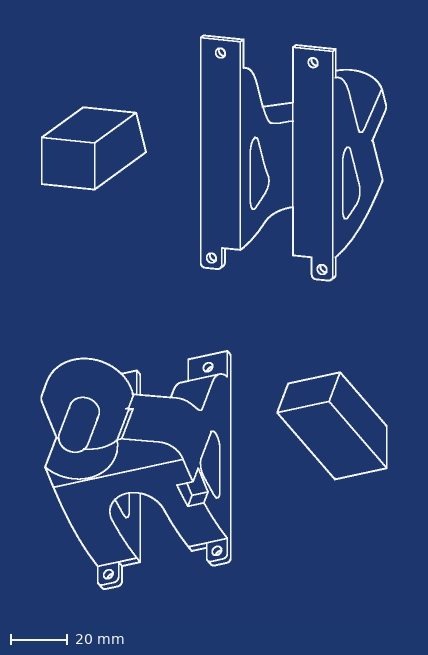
import cadquery as cq
import math

TILT = 30.0
SIN_TILT = math.sin(math.radians(TILT))
COS_TILT = math.cos(math.radians(TILT))

total_width = 110.0
frame_width = 49.9
frame_height = 84.5
frame_left = total_width - frame_width

leg_thickness = 3.2
leg_foot = 7.9
tab_width = 8.0
tab_fillet = 1.8
screw_radius = 1.8
upper_screw_inset = 7.5
upper_screw_height = 79.5
lower_screw_inset = 4.1
lower_screw_height = 3.8

shoulder_radius = 19.0
shoulder_height = 74.2
keel_radius = 85.6
valley_y = 27.7
valley_radius = 4.6

channel_radius = 9.9
channel_depth = 31.9
channel_lean = 5.0
channel_x = frame_left + frame_width / 2

window_radius = 4.3
window_corners = [(14.2, 41.0), (14.2, 23.5), (22.9, 26.1)]

arm_corner_radius = 9.0
arm_corner_start = 0.3
arm_tip_x = 20.5
arm_blunt_reach = 13.2
arm_edge_angle = math.radians(19.0)

pad_radius = 16.1
pad_thickness = 9.7
pad_fillet = 1.0
pad_x = frame_left + 36.1
pad_reach = 16.7
boss_radius = 5.4
boss_fillet = 1.0

recess_reach = -20.0
recess_length = 10.1
recess_drop = 20.1
recess_depth = 6.2

block_width = 20.0
block_bottom = 24.5
block_height = 17.2
block_top_length = 41.7

shoulder_end_y = shoulder_radius * COS_TILT
shoulder_end_z = shoulder_height - shoulder_radius * (1 - SIN_TILT)
valley_z = shoulder_end_z - (valley_y - shoulder_end_y) / math.tan(math.radians(TILT))
keel_end_y = keel_radius * SIN_TILT
keel_end_z = leg_foot + keel_radius * (1 - COS_TILT)
arm_depth = (keel_end_y - valley_y) * SIN_TILT + (valley_z - keel_end_z) * COS_TILT

arm_top = cq.Plane(
    origin=(0, valley_y, valley_z), xDir=(1, 0, 0), normal=(0, -SIN_TILT, COS_TILT)
)


def side_sketch(x):
    """YZ workplane at the given X."""
    return cq.Workplane("YZ", origin=(x, 0, 0))


def wings():
    """Full-width profile up to the valley and down to the curved keel."""
    mid_turn = math.radians((90 + TILT) / 2)
    shoulder_mid = (
        shoulder_radius * math.cos(mid_turn),
        shoulder_height - shoulder_radius * (1 - math.sin(mid_turn)),
    )
    half_tilt = math.radians(TILT / 2)
    keel_mid = (
        keel_radius * math.sin(half_tilt),
        leg_foot + keel_radius * (1 - math.cos(half_tilt)),
    )
    return (
        side_sketch(frame_left)
        .moveTo(0, leg_foot)
        .lineTo(0, shoulder_height)
        .threePointArc(shoulder_mid, (shoulder_end_y, shoulder_end_z))
        .lineTo(valley_y, valley_z)
        .lineTo(keel_end_y, keel_end_z)
        .threePointArc(keel_mid, (0, leg_foot))
        .close()
        .extrude(frame_width)
    )


def arm_outline():
    """Outline in the arm plane; the left edge rounds into a slanted stretch."""
    centre_x = frame_left + arm_corner_radius
    centre_reach = arm_corner_start
    end_angle = math.pi / 2 + arm_edge_angle
    mid_angle = (math.pi + end_angle) / 2

    def on_corner(angle):
        return (
            centre_x + arm_corner_radius * math.cos(angle),
            centre_reach + arm_corner_radius * math.sin(angle),
        )

    slant_x, slant_reach = on_corner(end_angle)
    tip_x = frame_left + arm_tip_x
    tip_reach = slant_reach + (tip_x - slant_x) * math.tan(arm_edge_angle)
    return (
        cq.Workplane(arm_top)
        .moveTo(frame_left, 0)
        .lineTo(frame_left, arm_corner_start)
        .threePointArc(on_corner(mid_angle), (slant_x, slant_reach))
        .lineTo(tip_x, tip_reach)
        .lineTo(total_width, tip_reach)
        .lineTo(total_width, 0)
        .close()
    )


def arm():
    """Tilted slab, blunted at its tip and cleared round the boss below the pad."""
    below_pad = cq.Workplane(arm_top).workplane(offset=-pad_thickness)
    clearance = below_pad.center(pad_x, pad_reach).circle(pad_radius).extrude(-arm_depth)
    blunting = (
        below_pad.moveTo(frame_left, arm_blunt_reach)
        .rect(frame_width, pad_radius, centered=False)
        .extrude(-arm_depth)
    )
    return arm_outline().extrude(-arm_depth).cut(clearance).cut(blunting)


def pad():
    """Rounded pad flush with the arm top, cut off at the frame's right side."""
    flat_faces = cq.selectors.ParallelDirSelector(arm_top.zDir)
    disc = cq.Workplane(arm_top).center(pad_x, pad_reach).circle(pad_radius).extrude(-pad_thickness)
    disc = disc.faces(flat_faces).edges().fillet(pad_fillet)
    limit = cq.Workplane("XY").box(frame_width, 4 * pad_radius, frame_height, centered=(False, False, False))
    return disc.intersect(limit.translate((frame_left, valley_y, 0)))


def boss():
    """Round boss below the pad, as deep as the arm."""
    return (
        cq.Workplane(arm_top)
        .center(pad_x, pad_reach)
        .circle(boss_radius)
        .extrude(-arm_depth)
        .faces(cq.selectors.DirectionMinMaxSelector(arm_top.zDir, False))
        .edges()
        .fillet(boss_fillet)
    )


def leg_plate():
    """Flat plate with two rounded tabs at its foot."""
    plate = cq.Workplane("XY").box(
        frame_width, leg_thickness, frame_height - leg_foot, centered=False
    ).translate((frame_left, 0, leg_foot))
    for tab_left in (frame_left, total_width - tab_width):
        tab = cq.Workplane("XY").box(tab_width, leg_thickness, leg_foot, centered=False)
        tab = tab.faces("<Z").edges("|Y").fillet(tab_fillet)
        plate = plate.union(tab.translate((tab_left, 0, 0)))
    return plate


def valley_web():
    """Fill of the valley corner, hollowed by the valley radius."""
    fill = (
        side_sketch(frame_left)
        .moveTo(valley_y, valley_z)
        .lineTo(valley_y + valley_radius * COS_TILT, valley_z + valley_radius * SIN_TILT)
        .radiusArc(
            (valley_y - valley_radius * SIN_TILT, valley_z + valley_radius * COS_TILT), valley_radius
        )
        .close()
        .extrude(frame_width)
    )
    return fill.intersect(arm_outline().extrude(2 * valley_radius))


def channel():
    """U-shaped channel from the front face, leaning back towards its lower end."""
    straight = channel_depth - channel_radius
    mouth_z = valley_z + (channel_depth - valley_y) * math.tan(math.radians(TILT))
    lean_plane = cq.Plane(origin=(channel_x, 0, mouth_z)).rotated((channel_lean, 0, 0))
    slot = cq.Workplane(lean_plane).rect(2 * channel_radius, 2 * straight)
    round_end = cq.Workplane(lean_plane).center(0, straight).circle(channel_radius)
    return slot.extrude(frame_height, both=True).union(round_end.extrude(frame_height, both=True))


def window():
    """Rounded triangle through the full width."""
    core = side_sketch(frame_left).polyline(window_corners).close().offset2D(window_radius)
    return core.extrude(frame_width)


def screw_holes():
    """Two upper and two lower screw holes through the legs."""
    spots = []
    for inset, height in (
        (upper_screw_inset, upper_screw_height),
        (lower_screw_inset, lower_screw_height),
    ):
        spots += [(frame_left + inset, height), (total_width - inset, height)]
    return cq.Workplane("XZ").pushPoints(spots).circle(screw_radius).extrude(-leg_thickness)


def recess():
    """Blind recess on the left side, open through the keel."""
    return (
        cq.Workplane(arm_top)
        .workplane(offset=-recess_drop)
        .moveTo(frame_left, recess_reach)
        .rect(recess_depth, recess_length, centered=False)
        .extrude(-arm_depth)
    )


def make_frame():
    body = wings().union(arm()).union(pad()).union(boss()).union(valley_web()).union(leg_plate())
    return body.cut(channel()).cut(window()).cut(screw_holes()).cut(recess())


def make_block():
    """Wedge block whose sloped end is parallel to the arm's end."""
    bottom_length = block_top_length + block_height * math.tan(math.radians(TILT))
    return (
        side_sketch(0)
        .moveTo(0, block_bottom)
        .lineTo(bottom_length, block_bottom)
        .lineTo(block_top_length, block_bottom + block_height)
        .lineTo(0, block_bottom + block_height)
        .close()
        .extrude(block_width)
    )


frame = make_frame()
block = make_block()
result = cq.Compound.makeCompound([frame.val(), block.val()])